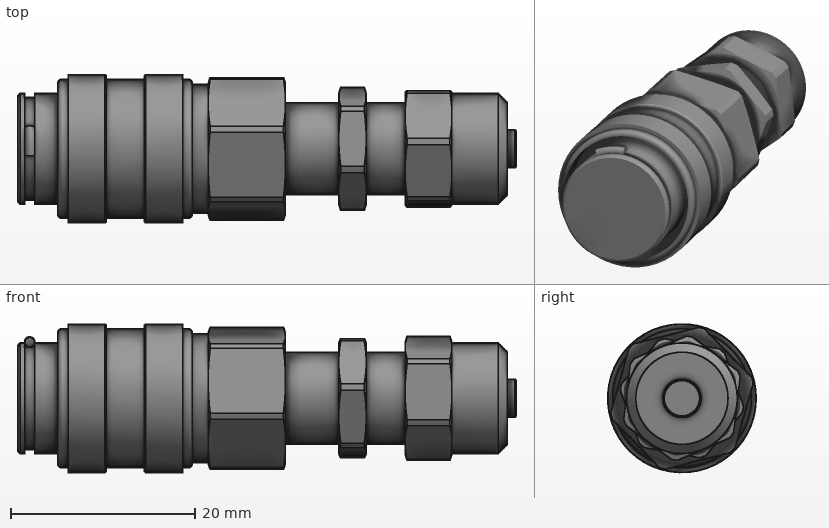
import cadquery as cq
import math

total_length = 54.15

core_diameter = 12.0
collar_chamfer = 0.25
groove_start = 0.75
groove_width = 1.1
groove_diameter = 11.15

wire_diameter = groove_width
wire_start_angle = -6.6
wire_end_angle = 22.0

sleeve_start = 4.35
sleeve_end = 18.95
sleeve_diameter = 15.1
sleeve_bore = 14.0
sleeve_cavity_depth = 3.25
sleeve_rounding = 0.5
band_diameter = 16.15
band_width = 4.15
front_band_start = 5.45
rear_band_start = 13.75
band_chamfer = 0.15

neck_diameter = sleeve_bore
tube_diameter = 10.0
end_diameter = 12.0
end_face_start = 53.2
end_chamfer = (end_diameter - tube_diameter) / 2
nozzle_diameter = 4.15
nozzle_chamfer = 0.15

hex_end_chamfer = 0.2
body_hex = dict(start=20.7, end=29.1, flats=14.0, corners=15.8, corner_angle=-14.3)
lock_nut = dict(start=34.85, end=37.85, flats=12.0, corners=13.5, corner_angle=10.4)
cap_nut = dict(start=42.1, end=47.15, flats=12.0, corners=13.5, corner_angle=-23.3)


def cylinder(start, end, diameter):
    """Round bar along X."""
    return cq.Workplane("YZ", origin=(start, 0, 0)).circle(diameter / 2).extrude(end - start)


def hexagon(start, end, flats, corners, corner_angle):
    """Hexagonal bar with corners turned round and both ends chamfered down to the flats."""
    length = end - start
    sharp_corners = flats / math.cos(math.pi / 6)
    bar = (
        cq.Workplane("YZ", origin=(start, 0, 0))
        .polygon(6, sharp_corners)
        .extrude(length)
        .rotate((0, 0, 0), (1, 0, 0), 180 - corner_angle)
    )
    blank = cylinder(start, end, corners).faces("<X or >X").chamfer(hex_end_chamfer, (corners - flats) / 2)
    return bar.intersect(blank)


def plug_core():
    """Core with a chamfered front collar and the locking wire groove behind it."""
    groove_end = groove_start + groove_width
    collar = cylinder(0, groove_start, core_diameter).faces("<X").chamfer(collar_chamfer)
    floor = cylinder(groove_start, groove_end, groove_diameter)
    return collar.union(floor).union(cylinder(groove_end, sleeve_end, core_diameter))


def sleeve():
    """Sleeve with rounded ends, two grip bands and a recess round the plug core."""
    body = cylinder(sleeve_start, sleeve_end, sleeve_diameter)
    front_band = cylinder(front_band_start, front_band_start + band_width, band_diameter)
    rear_band = cylinder(rear_band_start, rear_band_start + band_width, band_diameter)
    body = body.faces("<X or >X").edges().fillet(sleeve_rounding)
    body = body.union(front_band.faces(">X").chamfer(band_chamfer))
    body = body.union(rear_band.faces("<X").chamfer(band_chamfer))
    return body.cut(cylinder(sleeve_start, sleeve_start + sleeve_cavity_depth, sleeve_bore))


def rear_end():
    """Neck, tube, chamfered end piece and hose nozzle."""
    neck = cylinder(sleeve_end, body_hex["start"], neck_diameter)
    tube = cylinder(body_hex["end"], cap_nut["start"], tube_diameter)
    end_piece = cylinder(cap_nut["end"], end_face_start, end_diameter).faces(">X").chamfer(end_chamfer)
    nozzle = cylinder(end_face_start, total_length, nozzle_diameter).faces(">X").chamfer(nozzle_chamfer)
    return neck.union(tube).union(end_piece).union(nozzle)


def make_coupling():
    coupling = plug_core().union(sleeve()).union(rear_end())
    for hex_size in (body_hex, lock_nut, cap_nut):
        coupling = coupling.union(hexagon(**hex_size))
    return coupling


def make_locking_wire():
    """Arc of round wire that lies in the groove and stands out above the core."""
    arc_radius = (groove_diameter + wire_diameter) / 2
    axis_start = (0, -arc_radius)
    axis_end = (-1, -arc_radius)
    return (
        cq.Workplane("XZ")
        .center(groove_start + groove_width / 2, arc_radius)
        .circle(wire_diameter / 2)
        .revolve(wire_end_angle - wire_start_angle, axis_start, axis_end)
        .rotate((0, 0, 0), (1, 0, 0), -wire_start_angle)
    )


coupling = make_coupling()
locking_wire = make_locking_wire()
result = cq.Compound.makeCompound([coupling.solids().val(), locking_wire.val()])